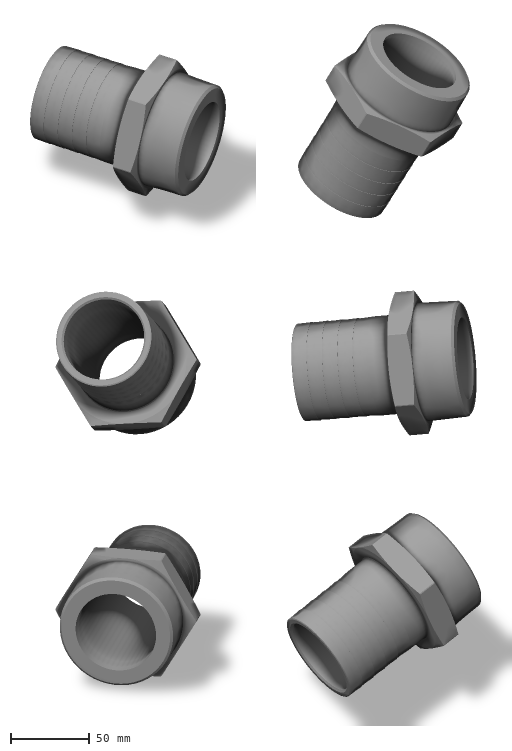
import cadquery as cq
import math

total_length = 107.0
bore_diameter = 52.6
bore_mouth_chamfer = 1.2

barb_count = 5
barb_pitch = 10.0
barb_land_length = 0.16
barb_root_radius = 62.4 / 2
barb_crest_radius = 63.0 / 2
shank_radius = 63.5 / 2
tip_chamfer_height = 0.7
tip_chamfer_length = 0.4

hex_start = 64.3
hex_width = 15.6
hex_end = hex_start + hex_width
across_flats = 80.1
across_corners = 92.1
hex_chamfer_angle = math.radians(15)
hex_root_chamfer = 0.6

diameter_taper = 1 / 16
collar_length = 1.0
taper_start = hex_end + collar_length
taper_large_radius = 75.8 / 2
end_chamfer = 1.6
taper_end = total_length - end_chamfer
taper_small_radius = taper_large_radius - diameter_taper * (taper_end - taper_start) / 2


def revolve_about_x(points):
    """Revolve a closed (x, radius) outline about the X axis."""
    return cq.Workplane("XY").polyline(points).close().revolve(360, (0, 0, 0), (1, 0, 0))


def make_tail():
    """Barbed tail, flaring into the hexagon and running through it."""
    points = [
        (0, 0),
        (0, barb_root_radius - tip_chamfer_height),
        (tip_chamfer_length, barb_root_radius),
    ]
    for barb in range(1, barb_count):
        barb_end = barb * barb_pitch
        points += [
            (barb_end - barb_land_length, barb_crest_radius),
            (barb_end, barb_crest_radius),
            (barb_end, barb_root_radius),
        ]
    flare_radius = shank_radius + hex_root_chamfer
    points += [
        (barb_count * barb_pitch, shank_radius),
        (hex_start - hex_root_chamfer, shank_radius),
        (hex_start, flare_radius),
        (hex_end, flare_radius),
        (hex_end, 0),
    ]
    return revolve_about_x(points)


def make_hexagon():
    """Hexagon with conical chamfers on both faces and slightly trimmed corners."""
    prism = (
        cq.Workplane("YZ", origin=(hex_start, 0, 0))
        .polygon(6, across_flats / math.cos(math.pi / 6))
        .extrude(hex_width)
    )
    face_radius = across_flats / 2
    corner_radius = across_corners / 2
    chamfer_length = (corner_radius - face_radius) * math.tan(hex_chamfer_angle)
    envelope = revolve_about_x([
        (hex_start, 0),
        (hex_start, face_radius),
        (hex_start + chamfer_length, corner_radius),
        (hex_end - chamfer_length, corner_radius),
        (hex_end, face_radius),
        (hex_end, 0),
    ])
    return prism.intersect(envelope)


def make_tapered_end():
    """Tapered male end with a short straight collar behind it and a chamfered rim."""
    return revolve_about_x([
        (hex_start, 0),
        (hex_start, taper_large_radius),
        (taper_start, taper_large_radius),
        (taper_end, taper_small_radius),
        (total_length, taper_small_radius - end_chamfer),
        (total_length, 0),
    ])


def make_bore():
    """Through bore, chamfered at the tail mouth."""
    bore_radius = bore_diameter / 2
    return revolve_about_x([
        (0, 0),
        (0, bore_radius + bore_mouth_chamfer),
        (bore_mouth_chamfer, bore_radius),
        (total_length, bore_radius),
        (total_length, 0),
    ])


result = make_tail().union(make_hexagon()).union(make_tapered_end()).cut(make_bore())